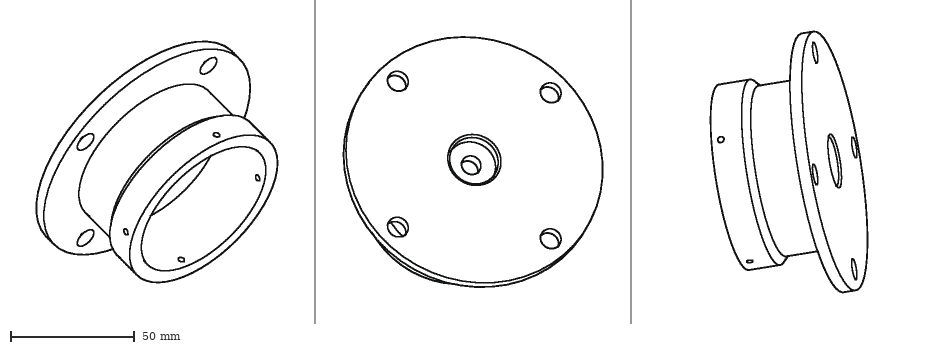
import cadquery as cq

flange_diameter = 106.0
flange_thickness = 5.0
barrel_diameter = 70.0
head_diameter = 76.0
barrel_end = 26.0
total_length = 42.0
flare_length = (head_diameter - barrel_diameter) / 2

bore_diameter = 8.0
recess_diameter = 20.0
recess_depth = 6.0
recess_chamfer = 1.0

wall_thickness = 6.0
cavity_diameter = head_diameter - 2 * wall_thickness
cavity_floor = recess_depth + wall_thickness

mount_hole_diameter = 8.5
mount_hole_spacing = 63.1

screw_hole_diameter = 2.5
screw_hole_x = 38.0
screw_hole_count = 4
screw_hole_start_angle = 15.0


def make_body():
    flange = cq.Workplane("YZ").circle(flange_diameter / 2).extrude(flange_thickness)
    profile = [
        (0, 0),
        (0, barrel_diameter / 2),
        (barrel_end, barrel_diameter / 2),
        (barrel_end + flare_length, head_diameter / 2),
        (total_length, head_diameter / 2),
        (total_length, 0),
    ]
    hub = cq.Workplane("XY").polyline(profile).close().revolve(360, (0, 0, 0), (1, 0, 0))
    return flange.union(hub)


def make_center_bore():
    bore = cq.Workplane("YZ").circle(bore_diameter / 2).extrude(total_length)
    recess_radius = recess_diameter / 2
    profile = [
        (0, 0),
        (0, recess_radius + recess_chamfer),
        (recess_chamfer, recess_radius),
        (recess_depth, recess_radius),
        (recess_depth, 0),
    ]
    recess = cq.Workplane("XY").polyline(profile).close().revolve(360, (0, 0, 0), (1, 0, 0))
    return bore.union(recess)


def make_cavity():
    return (
        cq.Workplane("YZ", origin=(cavity_floor, 0, 0))
        .circle(cavity_diameter / 2)
        .extrude(total_length - cavity_floor)
    )


def make_mount_holes():
    return (
        cq.Workplane("YZ")
        .rect(mount_hole_spacing, mount_hole_spacing, forConstruction=True)
        .vertices()
        .circle(mount_hole_diameter / 2)
        .extrude(flange_thickness)
    )


def make_screw_hole(angle):
    drill = (
        cq.Workplane("XY", origin=(screw_hole_x, 0, head_diameter / 2 - 1.5 * wall_thickness))
        .circle(screw_hole_diameter / 2)
        .extrude(2 * wall_thickness)
    )
    return drill.rotate((0, 0, 0), (1, 0, 0), angle)


result = make_body().cut(make_center_bore()).cut(make_cavity()).cut(make_mount_holes())
for index in range(screw_hole_count):
    hole_angle = -screw_hole_start_angle + index * 360 / screw_hole_count
    result = result.cut(make_screw_hole(hole_angle))